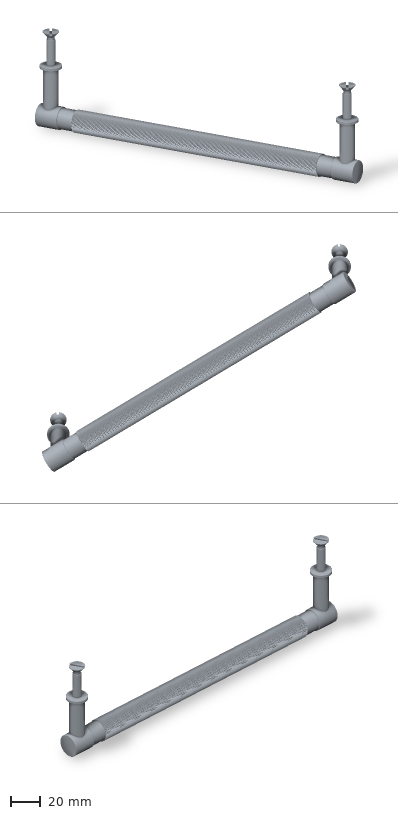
import cadquery as cq
import math

handle_length = 240.0
bar_diameter = 14.5
grip_diameter = 15.8
grip_length = 185.0
flute_count = 90
flute_depth = 0.3

elbow_diameter = 15.8
elbow_length = 16.4
edge_rounding = 0.3
post_setback = 8.0
stem_diameter = 10.5
flange_diameter = 15.0
flange_thickness = 2.2
flange_top = 36.7

screw_diameter = 6.0
screw_neck_diameter = 5.0
screw_head_diameter = 11.0
screw_head_lip = 0.5
head_cone_height = 3.4
screw_top = 60.5
screw_shoulder = 54.7
screw_engagement = 12.0
slot_width = 1.6
slot_depth = 1.6
slot_angle = 118.0

post_x = handle_length / 2 - post_setback
bar_length = handle_length - 2 * elbow_length
grip_radius = grip_diameter / 2
bar_radius = bar_diameter / 2
screw_bottom = flange_top - screw_engagement


def make_bar():
    """Round bar whose grip carries straight V-shaped flutes all round."""
    rod = cq.Workplane("ZY", origin=(bar_length / 2, 0, 0)).circle(bar_radius).extrude(bar_length)
    tooth_points = []
    for step in range(2 * flute_count):
        radius = grip_radius if step % 2 == 0 else grip_radius - flute_depth
        angle = math.pi * step / flute_count
        tooth_points.append((radius * math.cos(angle), radius * math.sin(angle)))
    grip = (
        cq.Workplane("ZY", origin=(grip_length / 2, 0, 0))
        .polyline(tooth_points)
        .close()
        .extrude(grip_length)
    )
    return rod.union(grip)


def make_post(side):
    """Elbow, stem and flange in one piece, at the -X end (side = -1) or the +X end (side = 1)."""
    elbow = (
        cq.Workplane("YZ", origin=(-post_setback, 0, 0))
        .circle(elbow_diameter / 2)
        .extrude(elbow_length)
        .faces("<X or >X")
        .fillet(edge_rounding)
    )
    if side > 0:
        elbow = elbow.rotate((0, 0, 0), (0, 0, 1), 180)
    stem = cq.Workplane("XY").circle(stem_diameter / 2).extrude(flange_top)
    flange = (
        cq.Workplane("XY", origin=(0, 0, flange_top - flange_thickness))
        .circle(flange_diameter / 2)
        .extrude(flange_thickness)
        .faces("<Z or >Z")
        .fillet(edge_rounding)
    )
    screw_hole = (
        cq.Workplane("XY", origin=(0, 0, screw_bottom))
        .circle(screw_diameter / 2)
        .extrude(screw_engagement)
    )
    return elbow.union(stem).union(flange).cut(screw_hole).translate((side * post_x, 0, 0))


def make_screw(side):
    """Screw with an undercut neck below its countersunk head and a slot across the head."""
    shank_radius = screw_diameter / 2
    neck_radius = screw_neck_diameter / 2
    head_radius = screw_head_diameter / 2
    lip_bottom = screw_top - screw_head_lip
    body = (
        cq.Workplane("XZ")
        .moveTo(0, screw_bottom)
        .lineTo(shank_radius, screw_bottom)
        .lineTo(shank_radius, screw_shoulder)
        .lineTo(neck_radius, screw_shoulder)
        .lineTo(neck_radius, lip_bottom - head_cone_height)
        .lineTo(head_radius, lip_bottom)
        .lineTo(head_radius, screw_top)
        .lineTo(0, screw_top)
        .close()
        .revolve(360, (0, 0, 0), (0, 1, 0))
    )
    slot = (
        cq.Workplane("XY", origin=(0, 0, screw_top - slot_depth))
        .rect(2 * screw_head_diameter, slot_width)
        .extrude(slot_depth)
        .rotate((0, 0, 0), (0, 0, 1), slot_angle)
    )
    return body.cut(slot).translate((side * post_x, 0, 0))


bar = make_bar()
posts = [make_post(side) for side in (-1, 1)]
screws = [make_screw(side) for side in (-1, 1)]

result = cq.Compound.makeCompound(
    [bar.val()] + [post.val() for post in posts] + [screw.val() for screw in screws]
)